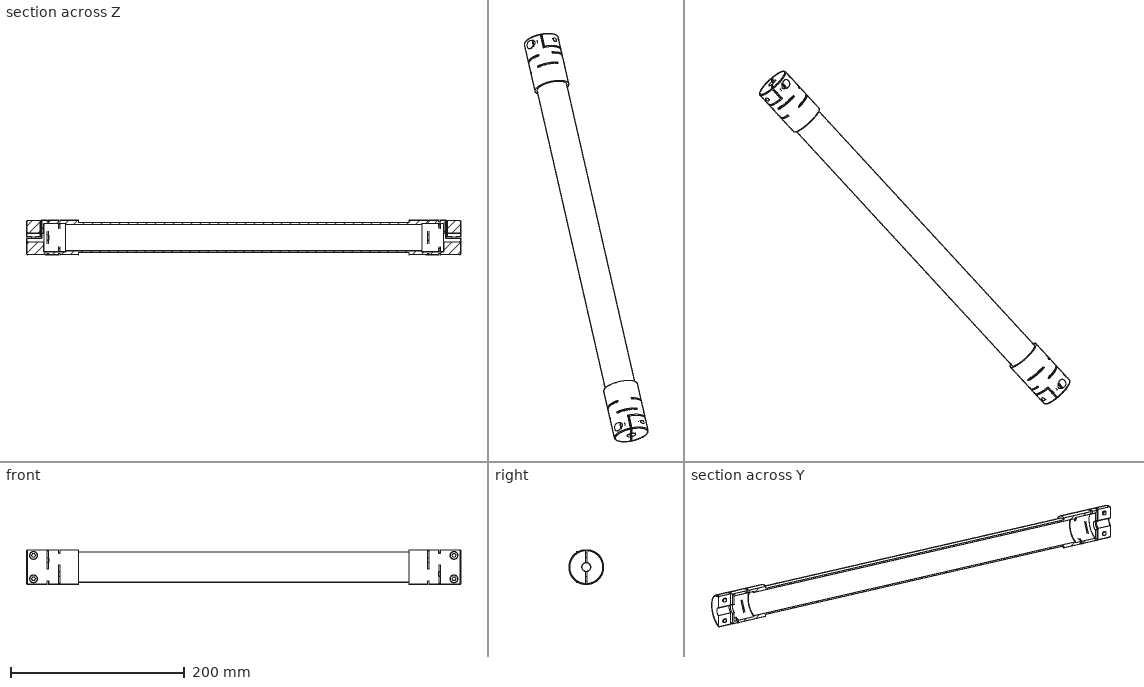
import cadquery as cq
import math

total_length = 500.0
hub_diameter = 40.0
hub_length = 60.0
end_chamfer = 1.0

tube_diameter = 35.0
tube_bore_diameter = 30.0
tube_insertion = 15.0

shaft_bore_diameter = 10.0
cap_length = 15.75
slot_width = 1.5

screw_from_end = 8.0
screw_spacing = 27.0
counterbore_diameter = 9.0
screw_head_diameter = 8.5
screw_head_height = 5.0
screw_thread_diameter = 5.0
thread_hole_diameter = 4.13
screw_seat_y = -6.0
thread_end_y = 10.0
hex_socket_width = 4.0
hex_socket_depth = 2.5

first_slit_row = 24.5
slit_row_pitch = 13.0
slits_per_row = 3
slit_floor_radius = 16.0
cavity_start = 20.0
cavity_diameter = 32.5

hub_radius = hub_diameter / 2
hub_end_x = -total_length / 2
screw_x = hub_end_x + screw_from_end
slit_spacing_angle = 360.0 / slits_per_row


def x_cylinder(diameter, start, length):
    """Cylinder on the X axis, from start towards +X."""
    return cq.Workplane("YZ").workplane(offset=start).circle(diameter / 2).extrude(length)


def y_cylinder(diameter, z, start, end):
    """Cylinder along Y at a clamp screw position, between two Y positions."""
    profile = cq.Workplane("XZ", origin=(screw_x, start, z)).circle(diameter / 2)
    return profile.extrude(start - end)


def hub_body():
    """Chamfered cylinder with the shaft bore and the wider cavity behind it."""
    body = x_cylinder(hub_diameter, hub_end_x, hub_length).faces("<X").chamfer(end_chamfer)
    body = body.cut(x_cylinder(shaft_bore_diameter, hub_end_x, hub_length))
    cavity = x_cylinder(cavity_diameter, hub_end_x + cavity_start, hub_length - cavity_start)
    return body.cut(cavity)


def cut_slit_row(body, distance_from_end, first_angle):
    """Straight slits around the hub; angles turn from +Y towards +Z."""
    slit = cq.Workplane("XY").box(
        slot_width, hub_radius, hub_diameter, centered=(True, False, True)
    )
    slit = slit.translate((hub_end_x + distance_from_end, slit_floor_radius, 0))
    for index in range(slits_per_row):
        angle = first_angle + index * slit_spacing_angle
        body = body.cut(slit.rotate((0, 0, 0), (1, 0, 0), angle))
    return body


def clamp_slots():
    """Split on the XZ plane, and the cross slot that frees the +Y clamp cap."""
    split = cq.Workplane("XY").box(
        cap_length + slot_width, slot_width, hub_diameter, centered=(False, True, True)
    )
    cross = cq.Workplane("XY").box(
        slot_width, hub_diameter, hub_diameter, centered=(False, False, True)
    )
    cross = cross.translate((cap_length, -slot_width / 2, 0))
    return split.union(cross).translate((hub_end_x, 0, 0))


def clamp_screw(z):
    """Socket head screw that ties the cap to the hub."""
    head_top_y = screw_seat_y - screw_head_height
    head = y_cylinder(screw_head_diameter, z, head_top_y, screw_seat_y)
    shank = y_cylinder(screw_thread_diameter, z, screw_seat_y, thread_end_y)
    socket = (
        cq.Workplane("XZ", origin=(screw_x, head_top_y, z))
        .polygon(6, hex_socket_width / math.cos(math.pi / 6))
        .extrude(-hex_socket_depth)
    )
    return head.union(shank).cut(socket)


def add_clamp_screws(body):
    """Counterbored screw holes, each filled by its screw."""
    for z in (-screw_spacing / 2, screw_spacing / 2):
        body = body.cut(y_cylinder(counterbore_diameter, z, -hub_radius, screw_seat_y))
        body = body.cut(y_cylinder(thread_hole_diameter, z, screw_seat_y, hub_radius))
        body = body.union(clamp_screw(z))
    return body


def make_hub():
    """Hub at the -X end."""
    hub = hub_body()
    hub = cut_slit_row(hub, first_slit_row, slit_spacing_angle / 4)
    hub = cut_slit_row(hub, first_slit_row + slit_row_pitch, slit_spacing_angle * 3 / 4)
    hub = hub.cut(clamp_slots())
    return add_clamp_screws(hub)


def make_tube():
    """Tube between the hubs, reaching into both cavities behind the last slits."""
    length = total_length - 2 * hub_length + 2 * tube_insertion
    tube = x_cylinder(tube_diameter, -length / 2, length)
    return tube.cut(x_cylinder(tube_bore_diameter, -length / 2, length))


left_hub = make_hub()
right_hub = left_hub.rotate((0, 0, 0), (0, 1, 0), 180)

result = make_tube().union(left_hub).union(right_hub)